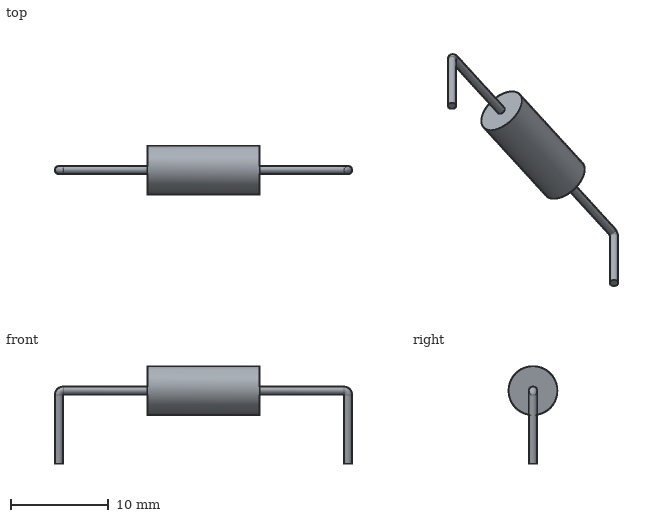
import cadquery as cq

overall_length = 30.35
overall_height = 10.0
body_diameter = 5.0
body_length = 11.47
wire_diameter = 0.85
bend_inner_radius = 0.005

wire_radius = wire_diameter / 2
body_end = body_length / 2
bend_radius = wire_radius + bend_inner_radius
lead_reach = overall_length / 2 - wire_radius
bend_start = lead_reach - bend_radius
lead_bottom = body_diameter / 2 - overall_height


def make_body():
    """Plain cylinder lying along X, centred on the origin."""
    return cq.Workplane("YZ", origin=(-body_end, 0, 0)).circle(body_diameter / 2).extrude(body_length)


def make_lead(side):
    """Bent wire from one end face of the body; side is -1 for -X and +1 for +X."""
    straight = (
        cq.Workplane("YZ", origin=(side * body_end, 0, 0))
        .circle(wire_radius)
        .extrude(side * (bend_start - body_end))
    )
    bend = (
        cq.Workplane("YZ", origin=(side * bend_start, 0, 0))
        .circle(wire_radius)
        .revolve(90, (0, -bend_radius), (side, -bend_radius))
    )
    leg = (
        cq.Workplane("XY", origin=(side * lead_reach, 0, lead_bottom))
        .circle(wire_radius)
        .extrude(-bend_radius - lead_bottom)
    )
    return straight.union(bend).union(leg)


body = make_body()
leads = [make_lead(side) for side in (-1, 1)]

result = cq.Compound.makeCompound([body.val(), *[lead.val() for lead in leads]])